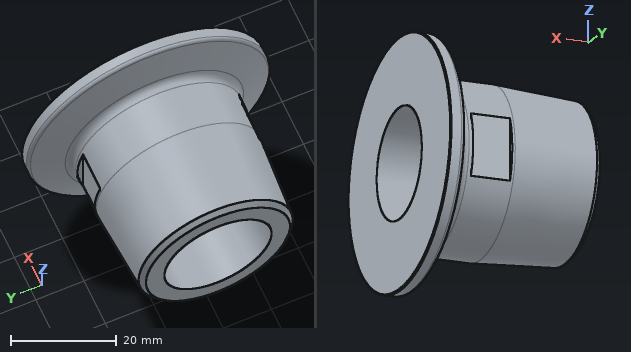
import cadquery as cq
import math

total_length = 35.0
bore_radius = 11.1

nose_chamfer = 1.05
nose_radius = 16.0
taper_end = 18.35
shank_radius = 17.15

flange_radius = 25.25
flange_cone_slope = math.radians(20.0)
rim_start = 32.15
rim_fillet = 0.8
face_chamfer = 0.2
root_fillet = 2.0

flat_offset = 16.0
flat_length = 8.05
front_flat_start = 16.9
back_flat_start = 18.95


def make_body():
    """Revolve the outer profile, including the rounded flange root and rim."""
    sine = math.sin(flange_cone_slope)
    cosine = math.cos(flange_cone_slope)

    corner_turn = math.pi / 2 - flange_cone_slope
    root_tangent = root_fillet * math.tan(corner_turn / 2)
    rim_tangent = rim_fillet * math.tan(corner_turn / 2)

    root_corner = rim_start - (flange_radius - shank_radius) * math.tan(flange_cone_slope)
    root_start = root_corner - root_tangent
    root_end = (root_corner + root_tangent * sine, shank_radius + root_tangent * cosine)
    root_middle = (
        root_start + root_fillet * math.sin(corner_turn / 2),
        shank_radius + root_fillet * (1 - math.cos(corner_turn / 2)),
    )
    rim_fillet_start = (rim_start - rim_tangent * sine, flange_radius - rim_tangent * cosine)
    rim_fillet_end = rim_start + rim_tangent
    rim_middle = (
        rim_fillet_end - rim_fillet * math.sin(corner_turn / 2),
        flange_radius - rim_fillet * (1 - math.cos(corner_turn / 2)),
    )

    profile = (
        cq.Workplane("XY")
        .moveTo(0, bore_radius)
        .lineTo(0, nose_radius - nose_chamfer)
        .lineTo(nose_chamfer, nose_radius)
        .lineTo(taper_end, shank_radius)
        .lineTo(root_start, shank_radius)
        .threePointArc(root_middle, root_end)
        .lineTo(*rim_fillet_start)
        .threePointArc(rim_middle, (rim_fillet_end, flange_radius))
        .lineTo(total_length - face_chamfer, flange_radius)
        .lineTo(total_length, flange_radius - face_chamfer)
        .lineTo(total_length, bore_radius)
        .close()
    )
    return profile.revolve(360, (0, 0, 0), (1, 0, 0))


def flat_cutter(start, side):
    """Block that cuts a flat on the +Y (side = 1) or -Y (side = -1) side."""
    depth = flange_radius - flat_offset
    center_x = start + flat_length / 2
    center_y = side * (flat_offset + depth / 2)
    return cq.Workplane("XY").box(flat_length, depth, 2 * shank_radius).translate((center_x, center_y, 0))


result = make_body()
for start, side in ((front_flat_start, -1), (back_flat_start, 1)):
    result = result.cut(flat_cutter(start, side))